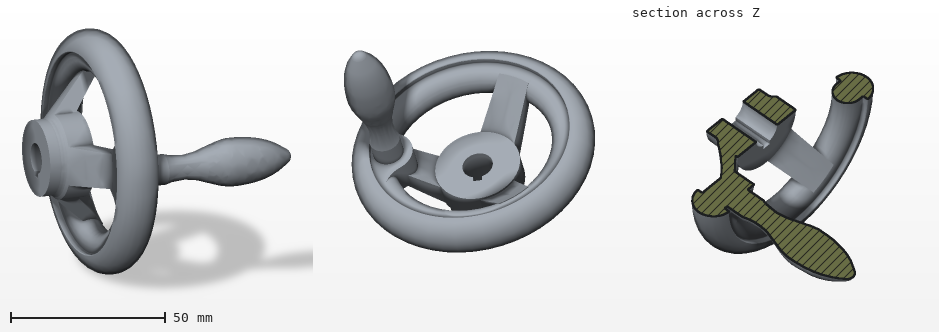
import cadquery as cq
import math


hub_front_radius = 12.5
hub_radius = 14.0
hub_length = 15.0
hub_neck_y = 4.8
hub_neck_fillet = 2.4
bore_radius = 5.0
key_width = 3.0
key_depth = 1.4

rim_outer_radius = 40.0
rim_width = 14.0
rim_front = hub_length
rim_back = rim_front + rim_width
rim_middle = (rim_front + rim_back) / 2
rim_step_radius = rim_outer_radius - rim_width / 2
rim_step_fillet = 0.25
rim_inner_radius = 26.0
inner_bead_width = 10.0
inner_bead_front = rim_middle - inner_bead_width / 2
inner_bead_back = rim_middle + inner_bead_width / 2
inner_bead_radius = rim_inner_radius + inner_bead_width / 2

spoke_count = 3
spoke_width_at_hub = 13.0
spoke_width_at_pad = 11.6
pad_edge_radius = 24.2
spoke_end_radius = 29.0
spoke_back_at_hub = 14.2
spoke_back_at_end = 27.0

handle_x = 27.0
pad_boss_radius = 8.0
pad_corner_radius = 10.0
pad_corner_limit_x = 28.3

collar_radius = 5.0
collar_end = 33.7
neck_radius = 4.0
neck_middle = 40.3
grip_start = 47.2
grip_start_radius = 5.5
grip_widest = 57.0
grip_radius = 7.9
grip_end = 76.3
grip_end_radius = 2.4
handle_tip = 77.65

grip_directions = [(0.3, 1), (0, 1), (-0.75, 1)]

cone_slope = (inner_bead_front - hub_neck_y) / (pad_edge_radius - hub_front_radius)


def cone_y(radius):
    """Y of the shared cone at a given radius."""
    return hub_neck_y + cone_slope * (radius - hub_front_radius)


def revolve_about_y(profile):
    """Turn a closed XY profile (X is the radius) round the Y axis."""
    return profile.revolve(360, (0, 0, 0), (0, 1, 0))


def plane_at_y(y):
    """Workplane with local axes X and Z; a negative extrusion runs towards +Y."""
    return cq.Workplane("XZ", origin=(0, y, 0))


def make_rim():
    profile = (
        cq.Workplane("XY")
        .moveTo(rim_step_radius, rim_front)
        .threePointArc((rim_outer_radius, rim_middle), (rim_step_radius, rim_back))
        .lineTo(rim_step_radius, inner_bead_back)
        .lineTo(inner_bead_radius, inner_bead_back)
        .threePointArc((rim_inner_radius, rim_middle), (inner_bead_radius, inner_bead_front))
        .lineTo(rim_step_radius, inner_bead_front)
        .close()
    )
    step_edges = cq.selectors.RadiusNthSelector(-1)
    return revolve_about_y(profile).edges(step_edges).fillet(rim_step_fillet)


def make_hub():
    profile = (
        cq.Workplane("XY")
        .lineTo(hub_front_radius, 0)
        .lineTo(hub_front_radius, hub_neck_y)
        .lineTo(hub_radius, cone_y(hub_radius))
        .lineTo(hub_radius, hub_length)
        .lineTo(0, hub_length)
        .close()
    )
    return revolve_about_y(profile).edges("%CIRCLE").edges(">>Y[1]").fillet(hub_neck_fillet)


def make_spokes():
    """Tapered blades cut out of a conical shell."""
    profile = (
        cq.Workplane("XY")
        .moveTo(0, cone_y(hub_radius))
        .lineTo(hub_radius, cone_y(hub_radius))
        .lineTo(spoke_end_radius, cone_y(spoke_end_radius))
        .lineTo(spoke_end_radius, spoke_back_at_end)
        .lineTo(hub_radius, spoke_back_at_hub)
        .lineTo(0, spoke_back_at_hub)
        .close()
    )
    shell = revolve_about_y(profile)

    taper = (spoke_width_at_pad - spoke_width_at_hub) / (pad_edge_radius - hub_front_radius)
    axis_width = spoke_width_at_hub - taper * hub_front_radius
    outer_width = axis_width + taper * rim_step_radius
    blade = (
        plane_at_y(0)
        .moveTo(0, -axis_width / 2)
        .lineTo(rim_step_radius, -outer_width / 2)
        .lineTo(rim_step_radius, outer_width / 2)
        .lineTo(0, axis_width / 2)
        .close()
        .extrude(-rim_back)
    )
    spoke = shell.intersect(blade)

    spokes = spoke
    for index in range(1, spoke_count):
        angle = index * 360 / spoke_count
        spokes = spokes.union(spoke.rotate((0, 0, 0), (0, 1, 0), angle))
    return spokes


def make_pad():
    """Boss round the handle axis, blended into the rim by two concave corners."""
    corner_x = pad_corner_limit_x - pad_corner_radius
    corner_offset = handle_x - corner_x
    centre_distance = pad_boss_radius + pad_corner_radius
    corner_z = math.sqrt(centre_distance**2 - corner_offset**2)

    tangent_x = handle_x - corner_offset * pad_boss_radius / centre_distance
    tangent_z = corner_z * pad_boss_radius / centre_distance
    half_angle = math.atan2(tangent_z - corner_z, tangent_x - corner_x) / 2
    middle_x = corner_x + pad_corner_radius * math.cos(half_angle)
    middle_z = corner_z + pad_corner_radius * math.sin(half_angle)

    outline = (
        plane_at_y(inner_bead_front)
        .moveTo(tangent_x, -tangent_z)
        .threePointArc((handle_x - pad_boss_radius, 0), (tangent_x, tangent_z))
        .threePointArc((middle_x, middle_z), (pad_corner_limit_x, corner_z))
        .lineTo(pad_corner_limit_x, rim_step_radius)
        .lineTo(rim_step_radius, rim_step_radius)
        .lineTo(rim_step_radius, -rim_step_radius)
        .lineTo(pad_corner_limit_x, -rim_step_radius)
        .lineTo(pad_corner_limit_x, -corner_z)
        .threePointArc((middle_x, -middle_z), (tangent_x, -tangent_z))
        .close()
        .extrude(-inner_bead_width)
    )
    rim_disc = plane_at_y(inner_bead_front).circle(rim_step_radius).extrude(-inner_bead_width)
    return outline.intersect(rim_disc)


def make_handle():
    tip_height = handle_tip - grip_end
    tip_radius = (grip_end_radius**2 + tip_height**2) / (2 * tip_height)
    profile = (
        cq.Workplane("XY")
        .moveTo(0, inner_bead_back)
        .lineTo(collar_radius, inner_bead_back)
        .lineTo(collar_radius, collar_end)
        .threePointArc((neck_radius, neck_middle), (grip_start_radius, grip_start))
        .spline(
            [(grip_radius, grip_widest), (grip_end_radius, grip_end)],
            tangents=grip_directions,
            includeCurrent=True,
        )
        .radiusArc((0, handle_tip), -tip_radius)
        .close()
    )
    return revolve_about_y(profile).translate((handle_x, 0, 0))


def make_bore():
    """Through bore with a keyway on the -Z side."""
    key_reach = bore_radius + key_depth
    bore = plane_at_y(0).circle(bore_radius).extrude(-hub_length)
    keyway = plane_at_y(0).center(0, -key_reach / 2).rect(key_width, key_reach).extrude(-hub_length)
    return bore.union(keyway)


result = (
    make_rim()
    .union(make_spokes())
    .union(make_hub())
    .union(make_pad())
    .union(make_handle())
    .cut(make_bore())
)